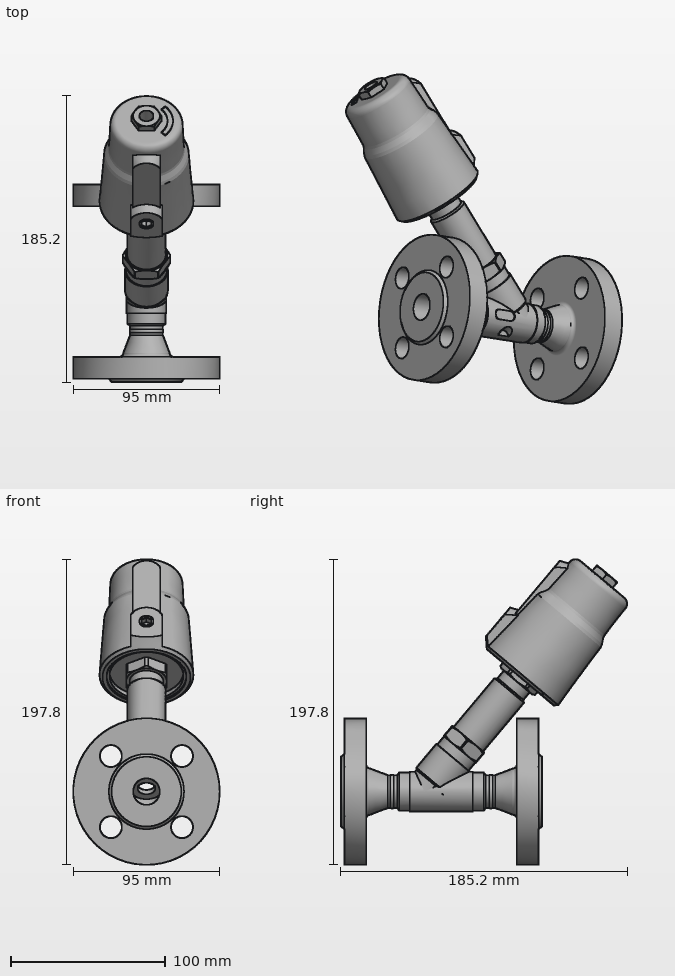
import cadquery as cq
import math


BRANCH_ANGLE = 50.0
BRANCH_Y = -11.0

FLANGE_D = 95.0
FLANGE_T = 14.2
FACE_TO_FACE = 130.1
RAISED_FACE_H = 2.2
RAISED_FACE_D = 45.0
RAISED_FACE_ROOT_D = 48.7
BOLT_CIRCLE_D = 65.0
BOLT_HOLE_D = 14.0
BOLT_COUNT = 4
BOLT_START_ANGLE = 45

BORE_D = 17.2
HUB_D = 30.0
HUB_FILLET = 2.5
HUB_END = 36.2
NECK_END = 34.8
WELD_END = 33.0
WELD_START = 30.9
NECK_START = 28.7
COLLAR_END = 27.3
BODY_END = 20.4
HUB_TIP_D = 22.5
NECK_D = 21.4
WELD_D = 22.0
COLLAR_D = 25.0
BODY_D = 26.0

SEAT_D = 11.5
SEAT_BOTTOM = 2.5
SEAT_TOP = 6.3
INLET_CHAMBER_D = 21.4
UPPER_CHAMBER_D = 20.0
CHAMBER_TOP = 23.7

BRANCH_D = 27.9
BRANCH_BOTTOM = 8.5
BRANCH_TOP = 28.7
UNION_D = 26.5
UNION_HEX_FLATS = 27.0
UNION_HEX_BOTTOM = 35.5
UNION_HEX_TOP = 44.3
UNION_HEX_ROUND_D = 30.9

TUBE_D = 25.0
TUBE_TOP = 85.5
STEM_D = 22.0
STEM_SHOULDER = 86.6

LOCK_HEX_FLATS = 26.3
LOCK_HEX_ROUND_D = 29.3
LOCK_HEX_BOTTOM = 93.0

HOUSING_BOTTOM = 96.5
HOUSING_BOTTOM_R = 28.5
HOUSING_CHAMFER = 2.0
HOUSING_TOP_R = 27.5
HOUSING_TOP = 145.0
SHOULDER_R = 26.7
SHOULDER_Z = 147.1
CAP_ROOT_R = 24.7
CAP_ROOT_Z = 150.7
CAP_BOTTOM_R = 24.3
CAP_BOTTOM_Z = 152.5
CAP_TOP_R = 23.3
CAP_TOP = 179.2
CAP_FILLET = 5.0
RECESS_D = 51.6
RECESS_DEPTH = 1.2
INNER_RECESS_D = 47.9
INNER_RECESS_DEPTH = 4.7

SPINE_W = 18.0
SPINE_FACE = 28.9
SPINE_ARC_Z = 160.8
SPINE_ARC_R = 9.9
PORT_BLOCK_W = 20.4
PORT_BLOCK_FACE = 34.0
PORT_Z = 115.5
PORT_ARC_R = 11.5
END_DRAFT = 0.45
PORT_SINK_D = 9.0
PORT_SINK_DEPTH = 0.5
PORT_SOCKET_FLATS = 6.0
PORT_SOCKET_DEPTH = 5.0

TOP_HEX_FLATS = 17.2
TOP_HEX_H = 4.7
TOP_HEX_ROUND_D = 20.0
TOP_HOLE_D = 9.0
TOP_HOLE_DEPTH = 11.9
WINDOW_INNER_R = 13.6
WINDOW_OUTER_R = 17.2
WINDOW_DEPTH = 0.5
WINDOW_ANGLE = 90.0

SLOT_L = 15.8
SLOT_W = 6.5
SLOT_Y = 6.1
SLOT_FLOOR_X = 12.0
NOTCH_D = 8.7
NOTCH_Y = 1.8
NOTCH_Z = -12.7
NOTCH_FLOOR_X = 5.1
NOTCH_DRAFT = 14.0


def cylinder(diameter, bottom, top):
    return cq.Workplane("XY").workplane(offset=bottom).circle(diameter / 2).extrude(top - bottom)


def hexagon(flats, bottom, top, turn, round_d, bottom_chamfered=False, top_chamfered=False):
    """Upright hexagonal prism with rounded corners and, where asked, ends chamfered at 30 degrees."""
    corners = flats / math.cos(math.pi / 6)
    prism = cq.Workplane("XY").workplane(offset=bottom).polygon(6, corners).extrude(top - bottom)
    prism = prism.rotate((0, 0, 0), (0, 0, 1), turn)
    inner_r = flats / 2
    outer_r = round_d / 2
    drop = (outer_r - inner_r) * math.tan(math.pi / 6)
    trim = (
        cq.Workplane("XZ")
        .moveTo(0, bottom)
        .lineTo(inner_r if bottom_chamfered else outer_r, bottom)
        .lineTo(outer_r, bottom + drop)
        .lineTo(outer_r, top - drop)
        .lineTo(inner_r if top_chamfered else outer_r, top)
        .lineTo(0, top)
        .close()
        .revolve(360, (0, 0, 0), (0, 1, 0))
    )
    return prism.intersect(trim)


def tilt(shape):
    """Lay an upright shape onto the branch axis."""
    leaned = shape.rotate((0, 0, 0), (1, 0, 0), BRANCH_ANGLE - 90)
    return leaned.translate((0, BRANCH_Y, 0))


def pipe_end():
    """One end of the pipe, from the collar to the raised face on the +Y side."""
    face = FACE_TO_FACE / 2
    flange_front = face - RAISED_FACE_H
    flange_back = flange_front - FLANGE_T
    hub_r = HUB_D / 2
    fillet_rise = HUB_FILLET * (1 - math.sqrt(0.5))
    fillet_run = HUB_FILLET * math.sqrt(0.5)
    profile = (
        cq.Workplane("XY")
        .moveTo(0, BODY_END)
        .lineTo(COLLAR_D / 2, BODY_END)
        .lineTo(COLLAR_D / 2, COLLAR_END)
        .lineTo(NECK_D / 2, NECK_START)
        .lineTo(NECK_D / 2, WELD_START)
        .threePointArc((WELD_D / 2, (WELD_START + WELD_END) / 2), (NECK_D / 2, WELD_END))
        .lineTo(NECK_D / 2, NECK_END)
        .lineTo(HUB_TIP_D / 2, HUB_END)
        .lineTo(hub_r, flange_back - HUB_FILLET)
        .threePointArc(
            (hub_r + fillet_rise, flange_back - HUB_FILLET + fillet_run),
            (hub_r + HUB_FILLET, flange_back),
        )
        .lineTo(FLANGE_D / 2, flange_back)
        .lineTo(FLANGE_D / 2, flange_front)
        .lineTo(RAISED_FACE_ROOT_D / 2, flange_front)
        .lineTo(RAISED_FACE_D / 2, face)
        .lineTo(0, face)
        .close()
    )
    return profile.revolve(360, (0, 0, 0), (0, 1, 0))


def along_pipe(diameter, half_length):
    return cq.Workplane("XZ").circle(diameter / 2).extrude(2 * half_length).translate((0, half_length, 0))


def bolt_holes():
    return (
        cq.Workplane("XZ")
        .polarArray(BOLT_CIRCLE_D / 2, BOLT_START_ANGLE, 360, BOLT_COUNT)
        .circle(BOLT_HOLE_D / 2)
        .extrude(FACE_TO_FACE / 2, both=True)
    )


def side_marks():
    """Slot and round notch sunk into the -X side of the pipe body."""
    slot = (
        cq.Workplane("YZ")
        .workplane(offset=-SLOT_FLOOR_X)
        .center(SLOT_Y, 0)
        .slot2D(SLOT_L, SLOT_W)
        .extrude(-BODY_D)
    )
    notch = (
        cq.Workplane("YZ")
        .workplane(offset=-NOTCH_FLOOR_X)
        .center(NOTCH_Y, NOTCH_Z)
        .circle(NOTCH_D / 2)
        .extrude(-BODY_D / 2, taper=-NOTCH_DRAFT)
    )
    return slot.union(notch)


def flow_passage():
    """Bore split by an inclined seat: inlet below the seat, outlet above it."""
    reach = FACE_TO_FACE
    half_space = cq.Workplane("XY").box(reach, reach, reach, centered=(True, False, False))
    front_zone = half_space.translate((0, -reach, SEAT_BOTTOM - reach))
    inlet_zone = front_zone.union(cylinder(INLET_CHAMBER_D, SEAT_BOTTOM - reach, SEAT_BOTTOM))
    outlet_zone = half_space.translate((0, 0, SEAT_TOP))
    bore = along_pipe(BORE_D, FACE_TO_FACE / 2)
    inlet = bore.intersect(tilt(inlet_zone))
    outlet = bore.intersect(tilt(outlet_zone))
    chamber = cylinder(UPPER_CHAMBER_D, SEAT_TOP, CHAMBER_TOP)
    seat = cylinder(SEAT_D, SEAT_BOTTOM, SEAT_TOP)
    return inlet.union(outlet).union(tilt(chamber.union(seat)))


def branch_and_tube():
    profile = (
        cq.Workplane("XZ")
        .moveTo(0, 0)
        .lineTo(BODY_D / 2, 0)
        .lineTo(BODY_D / 2, BRANCH_BOTTOM - (BRANCH_D - BODY_D) / 2)
        .lineTo(BRANCH_D / 2, BRANCH_BOTTOM)
        .lineTo(BRANCH_D / 2, BRANCH_TOP)
        .lineTo(UNION_D / 2, BRANCH_TOP)
        .lineTo(UNION_D / 2, UNION_HEX_TOP)
        .lineTo(TUBE_D / 2, UNION_HEX_TOP)
        .lineTo(TUBE_D / 2, TUBE_TOP)
        .lineTo(STEM_D / 2, STEM_SHOULDER)
        .lineTo(STEM_D / 2, HOUSING_TOP)
        .lineTo(0, HOUSING_TOP)
        .close()
    )
    turned = profile.revolve(360, (0, 0, 0), (0, 1, 0))
    union_hex = hexagon(
        UNION_HEX_FLATS,
        UNION_HEX_BOTTOM,
        UNION_HEX_TOP,
        turn=0,
        round_d=UNION_HEX_ROUND_D,
        bottom_chamfered=True,
        top_chamfered=True,
    )
    lock_hex = hexagon(
        LOCK_HEX_FLATS, LOCK_HEX_BOTTOM, HOUSING_TOP, 30, LOCK_HEX_ROUND_D, bottom_chamfered=True
    )
    return turned.union(union_hex).union(lock_hex)


def housing():
    profile = (
        cq.Workplane("XZ")
        .moveTo(0, HOUSING_BOTTOM)
        .lineTo(HOUSING_BOTTOM_R, HOUSING_BOTTOM)
        .lineTo(HOUSING_BOTTOM_R + HOUSING_CHAMFER, HOUSING_BOTTOM + HOUSING_CHAMFER)
        .lineTo(HOUSING_TOP_R, HOUSING_TOP)
        .lineTo(SHOULDER_R, SHOULDER_Z)
        .lineTo(CAP_ROOT_R, CAP_ROOT_Z)
        .lineTo(CAP_BOTTOM_R, CAP_BOTTOM_Z)
        .lineTo(CAP_TOP_R, CAP_TOP)
        .lineTo(0, CAP_TOP)
        .close()
    )
    return profile.revolve(360, (0, 0, 0), (0, 1, 0)).faces(">Z").edges().fillet(CAP_FILLET)


def round_ended_block(width, face, arc_z, arc_r):
    """Flat-faced block on the front of the housing; its top end is a drafted arc."""
    root_r = arc_r + END_DRAFT * face
    rounded_end = cq.Workplane(
        obj=cq.Solid.makeCone(root_r, arc_r, face, cq.Vector(0, 0, arc_z), cq.Vector(0, -1, 0))
    )

    def bar(top):
        outline = cq.Workplane("XY").workplane(offset=HOUSING_BOTTOM).center(0, -face / 2).rect(width, face)
        return outline.extrude(top - HOUSING_BOTTOM)

    return bar(arc_z + root_r).intersect(rounded_end).union(bar(arc_z))


def bottom_chamfer_cone():
    """Cone that continues the housing's bottom chamfer outward and upward."""
    height = CAP_TOP - HOUSING_BOTTOM
    return cq.Workplane(
        obj=cq.Solid.makeCone(
            HOUSING_BOTTOM_R, HOUSING_BOTTOM_R + height, height, cq.Vector(0, 0, HOUSING_BOTTOM)
        )
    )


def port_hole():
    face = cq.Workplane("XZ", origin=(0, -PORT_BLOCK_FACE, PORT_Z))
    sink = face.circle(PORT_SINK_D / 2).extrude(-PORT_SINK_DEPTH)
    corners = PORT_SOCKET_FLATS / math.cos(math.pi / 6)
    socket = face.transformed(rotate=(0, 0, 30)).polygon(6, corners).extrude(-PORT_SOCKET_DEPTH)
    return sink.union(socket)


def bottom_recess():
    outer = cylinder(RECESS_D, HOUSING_BOTTOM, HOUSING_BOTTOM + RECESS_DEPTH)
    inner = cylinder(INNER_RECESS_D, HOUSING_BOTTOM, HOUSING_BOTTOM + INNER_RECESS_DEPTH)
    return outer.union(inner)


def cap_window():
    """Shallow ring sector in the cap top, centred on +X."""
    ring = cylinder(2 * WINDOW_OUTER_R, CAP_TOP - WINDOW_DEPTH, CAP_TOP)
    ring = ring.cut(cylinder(2 * WINDOW_INNER_R, CAP_TOP - WINDOW_DEPTH, CAP_TOP))
    reach_x = 2 * WINDOW_OUTER_R
    reach_y = reach_x * math.tan(math.radians(WINDOW_ANGLE / 2))
    sector = (
        cq.Workplane("XY")
        .workplane(offset=CAP_TOP - WINDOW_DEPTH)
        .polyline([(0, 0), (reach_x, -reach_y), (reach_x, reach_y)])
        .close()
        .extrude(WINDOW_DEPTH)
    )
    return ring.intersect(sector)


def actuator():
    spine = round_ended_block(SPINE_W, SPINE_FACE, SPINE_ARC_Z, SPINE_ARC_R)
    port_block = round_ended_block(PORT_BLOCK_W, PORT_BLOCK_FACE, PORT_Z, PORT_ARC_R)
    blocks = spine.union(port_block).intersect(bottom_chamfer_cone())
    top_hex = hexagon(
        TOP_HEX_FLATS, CAP_TOP, CAP_TOP + TOP_HEX_H, 0, TOP_HEX_ROUND_D, top_chamfered=True
    )
    top_hole = cylinder(TOP_HOLE_D, CAP_TOP + TOP_HEX_H - TOP_HOLE_DEPTH, CAP_TOP + TOP_HEX_H)
    body = housing().union(blocks).union(top_hex)
    return body.cut(top_hole).cut(port_hole()).cut(bottom_recess()).cut(cap_window())


end = pipe_end()
pipe = along_pipe(BODY_D, BODY_END).union(end).union(end.mirror("XZ")).cut(bolt_holes())
upper = actuator().union(branch_and_tube())
result = pipe.union(tilt(upper)).cut(flow_passage()).cut(side_marks())